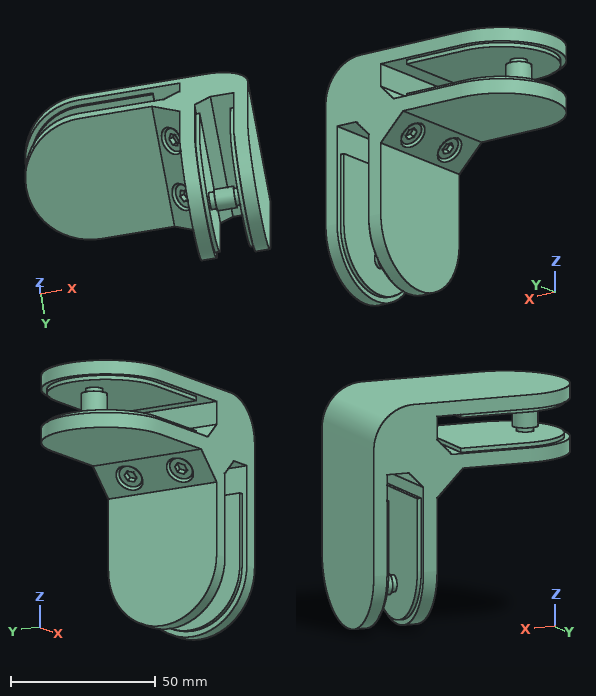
import cadquery as cq
import math

SPAN = 82.0
WIDTH = 45.0
FORK_DEPTH = 24.0
OUTER_PLATE = 5.0
INNER_PLATE = 5.25
BEND_RADIUS = 15.0
CORNER_CHAMFER = 9.75
SLOT_CHAMFER = 5.6
END_RADIUS = WIDTH / 2
SLOT_GAP = FORK_DEPTH - OUTER_PLATE - INNER_PLATE
SLOT_FLOOR = -OUTER_PLATE - SLOT_GAP
INSIDE = -FORK_DEPTH

PAD_THICKNESS = 1.5
PAD_INSET = 2.0
PAD_LENGTH = SPAN - FORK_DEPTH - CORNER_CHAMFER - PAD_INSET
PAD_RADIUS = END_RADIUS - PAD_INSET

PIN_DIAMETER = 6.0
POST_INSET = 15.0
POST_COLLAR_DIAMETER = 9.0
POST_COLLAR_LENGTH = 7.4
PIN_INSET = 14.6
PIN_COLLAR_DIAMETER = 7.55
PIN_COLLAR_LENGTH = 6.9

SCREW_OFFSET = 10.5
RECESS_DIAMETER = 10.0
HEAD_DIAMETER = 8.5
HEAD_HEIGHT = 5.0
HEAD_SINK = 1.0
RECESS_DEPTH = HEAD_SINK + HEAD_HEIGHT
SOCKET_FLATS = 4.0
SOCKET_CORNERS = SOCKET_FLATS / math.cos(math.radians(30))
SOCKET_DEPTH = 2.05
SCREW_TURNS = {1: 9, -1: 0}
SLOPE_MIDDLE = INSIDE - CORNER_CHAMFER / 2
SLOPE_TILT = -135


def swap_forks(body):
    """Swap X and Z, which carries a body of the top fork into the lower fork."""
    return body.rotate((0, 0, 0), (0, 1, 0), -90).mirror("YZ")


def onto_slope(body, side):
    """Move a body from the XY plane onto the sloping face, on one side of the middle plane."""
    tilted = body.rotate((0, 0, 0), (0, 1, 0), SLOPE_TILT)
    return tilted.translate((SLOPE_MIDDLE, side * SCREW_OFFSET, SLOPE_MIDDLE))


def make_round_plate(length, radius, thickness):
    """Plate from X = 0 to X = length with a half-round end at X = 0, rising from Z = 0."""
    return (
        cq.Workplane("XY")
        .moveTo(length, -radius)
        .lineTo(radius, -radius)
        .threePointArc((0, 0), (radius, radius))
        .lineTo(length, radius)
        .close()
        .extrude(thickness)
    )


def make_forks():
    """Both forks with square plate ends, extruded along Y."""
    bend_middle = -BEND_RADIUS * (1 - math.sqrt(0.5))
    return (
        cq.Workplane("XZ")
        .moveTo(-SPAN, 0)
        .lineTo(-BEND_RADIUS, 0)
        .threePointArc((bend_middle, bend_middle), (0, -BEND_RADIUS))
        .lineTo(0, -SPAN)
        .lineTo(-OUTER_PLATE, -SPAN)
        .lineTo(-OUTER_PLATE, INSIDE)
        .lineTo(SLOT_FLOOR + SLOT_CHAMFER, INSIDE)
        .lineTo(SLOT_FLOOR, INSIDE - SLOT_CHAMFER)
        .lineTo(SLOT_FLOOR, -SPAN)
        .lineTo(INSIDE, -SPAN)
        .lineTo(INSIDE, INSIDE - CORNER_CHAMFER)
        .lineTo(INSIDE - CORNER_CHAMFER, INSIDE)
        .lineTo(-SPAN, INSIDE)
        .lineTo(-SPAN, SLOT_FLOOR)
        .lineTo(INSIDE - SLOT_CHAMFER, SLOT_FLOOR)
        .lineTo(INSIDE, SLOT_FLOOR + SLOT_CHAMFER)
        .lineTo(INSIDE, -OUTER_PLATE)
        .lineTo(-SPAN, -OUTER_PLATE)
        .close()
        .extrude(WIDTH / 2, both=True)
    )


def make_collared_pin(inset, length, collar_diameter, collar_length):
    """Pin across the middle of the top slot, with its axis along Z."""
    shaft = cq.Workplane("XY").circle(PIN_DIAMETER / 2).extrude(length)
    collar = (
        cq.Workplane("XY")
        .workplane(offset=(length - collar_length) / 2)
        .circle(collar_diameter / 2)
        .extrude(collar_length)
    )
    slot_middle = SLOT_FLOOR + SLOT_GAP / 2
    return shaft.union(collar).translate((inset - SPAN, 0, slot_middle - length / 2))


def make_housing(post):
    """Forks with round plate ends, screw recesses and the post joined to the top plates."""
    end_outline = make_round_plate(SPAN, END_RADIUS, SPAN).translate((-SPAN, 0, -SPAN))
    housing = make_forks().intersect(end_outline).intersect(swap_forks(end_outline))
    recess = cq.Workplane("XY").circle(RECESS_DIAMETER / 2).extrude(-RECESS_DEPTH)
    for side in SCREW_TURNS:
        housing = housing.cut(onto_slope(recess, side))
    return housing.union(post)


def make_pad(bottom):
    """Pad in the top slot with its lower face at the given height."""
    pad = make_round_plate(PAD_LENGTH, PAD_RADIUS, PAD_THICKNESS)
    return pad.translate((PAD_INSET - SPAN, 0, bottom))


def make_screw(side, turn):
    """Screw standing on its recess floor, with a hexagon socket in its head."""
    head = (
        cq.Workplane("XY")
        .workplane(offset=-RECESS_DEPTH)
        .circle(HEAD_DIAMETER / 2)
        .extrude(HEAD_HEIGHT)
    )
    socket = (
        cq.Workplane("XY")
        .workplane(offset=-HEAD_SINK)
        .polygon(6, SOCKET_CORNERS)
        .extrude(-SOCKET_DEPTH)
        .rotate((0, 0, 0), (0, 0, 1), turn)
    )
    return onto_slope(head.cut(socket), side)


post = make_collared_pin(POST_INSET, SLOT_GAP, POST_COLLAR_DIAMETER, POST_COLLAR_LENGTH)
housing = make_housing(post)

pads = []
for pad_bottom in (SLOT_FLOOR, -OUTER_PLATE - PAD_THICKNESS):
    pad = make_pad(pad_bottom)
    pads.append(pad.cut(post).val())
    pads.append(swap_forks(pad).val())

pin_length = SLOT_GAP - 2 * PAD_THICKNESS
pin = swap_forks(make_collared_pin(PIN_INSET, pin_length, PIN_COLLAR_DIAMETER, PIN_COLLAR_LENGTH))

screws = [make_screw(side, turn).val() for side, turn in SCREW_TURNS.items()]

result = cq.Compound.makeCompound([housing.val(), *pads, pin.val(), *screws])